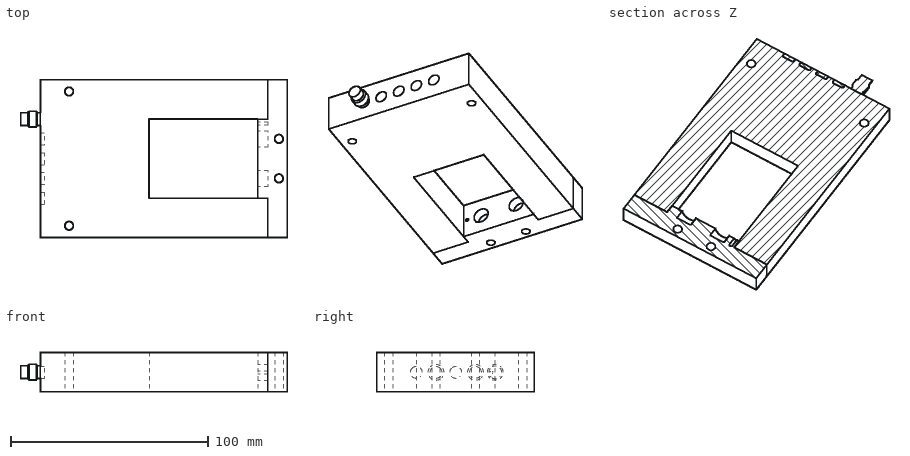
import cadquery as cq


total_length = 125.0
width = 80.0
height = 20.0

window_width = 40.0
window_start = 55.0
plate_thickness = 10.0
tongue_length = 5.0
arm_end = total_length - plate_thickness
window_end = arm_end - tongue_length

mount_diameter = 4.2
housing_mount_x = 14.5
housing_mount_y = 34.0
plate_mount_x = 120.75
plate_mount_y = 10.0

recess_diameter = 8.0
recess_depth = 5.0
recess_y = 10.0
small_hole_diameter = 1.5
small_hole_depth = 5.0
small_hole_y = 18.0

row_pitch = 10.0
connector_y = 2 * row_pitch
indicator_count = 4
indicator_diameter = 6.0
indicator_depth = 2.0

connector_length = 10.0
stem_radius = 6.5 / 2
nut_radius = 8.0 / 2
nut_length = 5.0
nut_gap = 1.5
nut_chamfer = nut_radius - stem_radius
nut_back = -nut_gap
nut_front = nut_back - nut_length


def block(x_start, x_end, block_width):
    """Full-height block from x_start to x_end, centred on Y = 0 and Z = 0."""
    blank = cq.Workplane("XY", origin=(x_start, 0, 0))
    return blank.box(x_end - x_start, block_width, height, centered=(False, True, True))


def x_cylinder(diameter, x_start, length, y):
    """Cylinder along +X at mid height."""
    return cq.Workplane("YZ", origin=(x_start, y, 0)).circle(diameter / 2).extrude(length)


def mount_holes(x, y):
    """Pair of cutters through the full height at +y and -y."""
    return (
        cq.Workplane("XY", origin=(x, 0, -height / 2))
        .pushPoints([(0, y), (0, -y)])
        .circle(mount_diameter / 2)
        .extrude(height)
    )


def make_indicator(y):
    return x_cylinder(indicator_diameter, 0, indicator_depth, y)


def make_housing(indicators):
    """Fork with a pocket for each indicator."""
    body = block(0, arm_end, width).cut(block(window_start, arm_end, window_width))
    body = body.cut(mount_holes(housing_mount_x, housing_mount_y))
    for indicator in indicators:
        body = body.cut(indicator)
    return body


def make_end_plate():
    """Plate across the fork ends, with a tongue that fits between the arms."""
    body = block(arm_end, total_length, width).union(block(window_end, arm_end, window_width))
    body = body.cut(mount_holes(plate_mount_x, plate_mount_y))
    for y in (recess_y, -recess_y):
        body = body.cut(x_cylinder(recess_diameter, window_end, recess_depth, y))
    return body.cut(x_cylinder(small_hole_diameter, window_end, small_hole_depth, small_hole_y))


def make_connector():
    """Half profile of stem and nut, turned about the X direction."""
    half_profile = (
        cq.Workplane("XY", origin=(0, connector_y, 0))
        .moveTo(-connector_length, 0)
        .lineTo(-connector_length, stem_radius)
        .lineTo(nut_front, stem_radius)
        .lineTo(nut_front + nut_chamfer, nut_radius)
        .lineTo(nut_back - nut_chamfer, nut_radius)
        .lineTo(nut_back, stem_radius)
        .lineTo(0, stem_radius)
        .lineTo(0, 0)
        .close()
    )
    return half_profile.revolve(360, (0, 0, 0), (1, 0, 0))


indicators = [make_indicator(connector_y - row_pitch * step) for step in range(1, indicator_count + 1)]
housing = make_housing(indicators)
end_plate = make_end_plate()
connector = make_connector()

result = cq.Compound.makeCompound(
    [housing.val(), end_plate.val(), connector.val(), *[indicator.val() for indicator in indicators]]
)